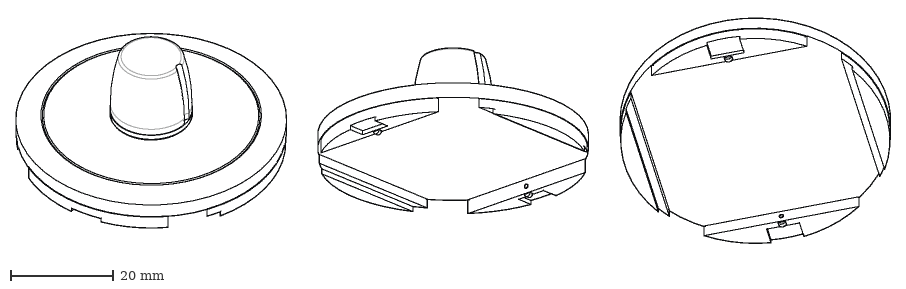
import cadquery as cq
import math

skirt_height = 2.9
rim_edge_z = 6.0
plate_top_z = 6.95
knob_bottom_z = 7.2
knob_collar_z = 8.55
knob_taper_z = 9.95
knob_shoulder_z = 21.4
knob_crown_edge_z = 21.8
knob_top_z = 22.1

rim_radius = 26.5
skirt_radius = 26.35
groove_outer_radius = 21.55
groove_width = 0.55
groove_depth = 0.2

opening_half = 21.2
relief_half = 22.8
relief_height = 1.05
notch_length = 6.6
notch_height = 0.85
foot_radius = 0.8
foot_center_z = 0.15
foot_thickness = 0.75
foot_center_y = 21.85
notch_face = 22.5
stud_radius = 0.4
stud_length = 0.15
stud_z = 1.45

collar_radius = 8.1
collar_bevel_width = 0.15
collar_bevel_height = 0.3
knob_radius = 8.0
shoulder_radius = 6.45
crown_radius = 5.9
mark_radius = 1.0
mark_axis_offset = 0.35
mark_overrun = 2.1

flank_rise = knob_shoulder_z - knob_taper_z
flank_inset = knob_radius - shoulder_radius
flank_arc_radius = (flank_rise**2 + flank_inset**2) / (2 * flank_inset)
flank_arc_center_x = knob_radius - flank_arc_radius


def flank_point(z, offset=0.0):
    """Point on the flank arc at height z, moved outwards along the arc's radius."""
    angle = math.asin((z - knob_taper_z) / flank_arc_radius)
    reach = flank_arc_radius + offset
    return flank_arc_center_x + reach * math.cos(angle), knob_taper_z + reach * math.sin(angle)


def make_disc():
    """Solid disc with a sloping rim, a V groove and a flat top."""
    groove_inner_radius = groove_outer_radius - groove_width
    groove_floor = (groove_outer_radius - groove_width / 2, plate_top_z - groove_depth)
    return (
        cq.Workplane("XZ")
        .moveTo(0, skirt_height)
        .lineTo(rim_radius, skirt_height)
        .lineTo(rim_radius, rim_edge_z)
        .lineTo(groove_outer_radius, plate_top_z)
        .lineTo(*groove_floor)
        .lineTo(groove_inner_radius, plate_top_z)
        .lineTo(0, plate_top_z)
        .close()
        .revolve(360, (0, 0), (0, 1))
    )


def make_skirt():
    """Four tabs: a round ring with a square opening, ledges and notches."""
    skirt = cq.Workplane("XY").circle(skirt_radius).extrude(skirt_height)
    skirt = skirt.cut(cq.Workplane("XY").rect(2 * opening_half, 2 * opening_half).extrude(skirt_height))
    side_half_width = math.sqrt(skirt_radius**2 - opening_half**2)
    skirt = skirt.cut(cq.Workplane("XY").rect(2 * relief_half, 2 * side_half_width).extrude(relief_height))
    notch_depth = rim_radius - notch_face
    for side in (-1, 1):
        notch = (
            cq.Workplane("XY")
            .center(0, side * (notch_face + notch_depth / 2))
            .rect(notch_length, notch_depth)
            .extrude(notch_height)
        )
        skirt = skirt.cut(notch)
    return skirt


def disc_along_y(radius, length, center_y, center_z):
    """Short cylinder lying along Y, centred on (0, center_y, center_z)."""
    return (
        cq.Workplane("XZ")
        .center(0, center_z)
        .circle(radius)
        .extrude(length / 2, both=True)
        .translate((0, center_y, 0))
    )


def make_plate():
    plate = make_disc().union(make_skirt())
    for side in (-1, 1):
        foot = disc_along_y(foot_radius, foot_thickness, side * foot_center_y, foot_center_z)
        stud = disc_along_y(stud_radius, 2 * stud_length, side * opening_half, stud_z)
        plate = plate.union(foot).union(stud)
    return plate


def make_knob_blank():
    """Turned knob: collar, straight band, curved flank and shallow domed crown."""
    crown_rise = knob_top_z - knob_crown_edge_z
    crown_sphere_radius = (crown_radius**2 + crown_rise**2) / (2 * crown_rise)
    half_crown = crown_radius / 2
    crown_mid_z = knob_top_z - crown_sphere_radius + math.sqrt(crown_sphere_radius**2 - half_crown**2)
    bulge = math.sqrt(0.5)
    shoulder_mid = (
        crown_radius + bulge * (shoulder_radius - crown_radius),
        knob_shoulder_z + bulge * (knob_crown_edge_z - knob_shoulder_z),
    )
    return (
        cq.Workplane("XZ")
        .moveTo(0, knob_bottom_z)
        .lineTo(collar_radius - collar_bevel_width, knob_bottom_z)
        .lineTo(collar_radius, knob_bottom_z + collar_bevel_height)
        .lineTo(collar_radius, knob_collar_z)
        .lineTo(knob_radius, knob_collar_z)
        .lineTo(knob_radius, knob_taper_z)
        .threePointArc(flank_point((knob_taper_z + knob_shoulder_z) / 2), flank_point(knob_shoulder_z))
        .threePointArc(shoulder_mid, (crown_radius, knob_crown_edge_z))
        .threePointArc((half_crown, crown_mid_z), (0, knob_top_z))
        .close()
        .revolve(360, (0, 0), (0, 1))
    )


def make_mark_cutter():
    """Round cutter that follows the flank from the collar past the knob top."""
    end_z = knob_shoulder_z + mark_overrun
    start_x = knob_radius + mark_axis_offset
    path = (
        cq.Workplane("XZ")
        .moveTo(start_x, knob_collar_z)
        .lineTo(start_x, knob_taper_z)
        .threePointArc(
            flank_point((knob_taper_z + end_z) / 2, mark_axis_offset),
            flank_point(end_z, mark_axis_offset),
        )
    )
    return cq.Workplane("XY", origin=(start_x, 0, knob_collar_z)).circle(mark_radius).sweep(path)


def make_knob():
    return make_knob_blank().cut(make_mark_cutter())


plate = make_plate()
knob = make_knob()
result = cq.Compound.makeCompound([plate.val(), knob.val()])